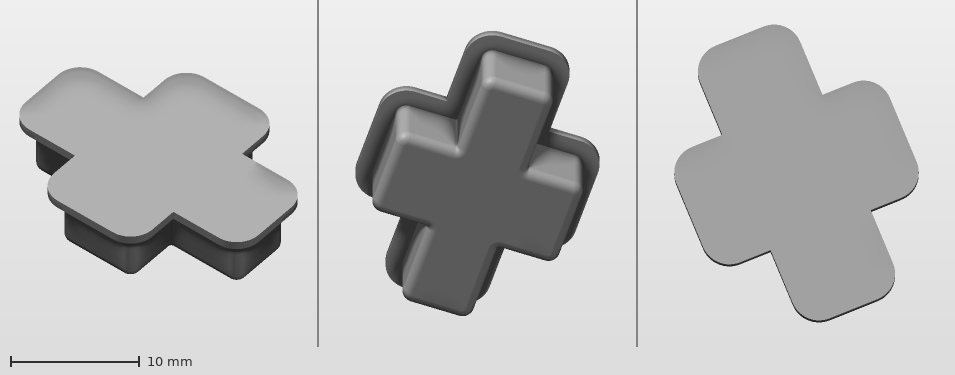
import cadquery as cq

length_x = 23.4
length_y = 17.9
arm_width_x = 8.4
arm_width_y = 9.9
flange_corner_radius = 2.2
flange_thickness = 0.75

total_height = 5.75
body_inset = 1.3
body_corner_radius = flange_corner_radius - body_inset
inner_corner_radius = 0.15
bottom_fillet = 0.75
body_height = total_height - flange_thickness


def rounded_bar(size_x, size_y, height, radius):
    """Rectangular bar with rounded vertical edges, standing on Z = 0."""
    bar = cq.Workplane("XY").rect(size_x, size_y).extrude(height)
    return bar.edges("|Z").fillet(radius)


def rounded_cross(inset, height, radius):
    """Two crossing bars, drawn in from the flange outline by the inset."""
    bar_x = rounded_bar(length_x - 2 * inset, arm_width_x - 2 * inset, height, radius)
    bar_y = rounded_bar(arm_width_y - 2 * inset, length_y - 2 * inset, height, radius)
    return bar_x.union(bar_y)


def make_body():
    """Inset cross with rounded inner corners and a rounded bottom rim."""
    body = rounded_cross(body_inset, body_height, body_corner_radius)
    inner_x = arm_width_y / 2 - body_inset
    inner_y = arm_width_x / 2 - body_inset
    tolerance = 0.02
    inner_corners = cq.selectors.BoxSelector(
        (-inner_x - tolerance, -inner_y - tolerance, 0),
        (inner_x + tolerance, inner_y + tolerance, body_height),
    )
    body = body.edges("|Z").edges(inner_corners).fillet(inner_corner_radius)
    return body.faces("<Z").edges().fillet(bottom_fillet)


flange = rounded_cross(0, flange_thickness, flange_corner_radius)
result = make_body().union(flange.translate((0, 0, body_height)))